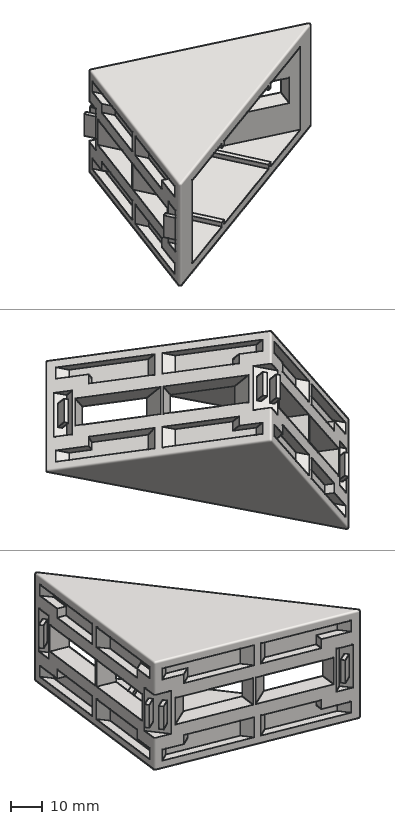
import cadquery as cq
import math

OVERALL = 77.6
PEG_REACH = 2.3
HEIGHT = 38.0
EDGE_RADIUS = 0.7
SHARP_LEG = OVERALL - PEG_REACH + math.sqrt(2) * EDGE_RADIUS

WALL = 7.1
PLATE = 3.7

RIB_OFFSETS = (25.5, 28.2)
RIB_HEIGHT = 1.55

WINDOW_SPANS = [(7.6, 36.1), (36.9, 65.4)]
WINDOW_HALF_HEIGHT = 4.65

SLOT_DEPTH = 3.25
SLOT_OUTER_Z = 16.15
SLOT_STEP_Z = 12.25
SLOT_INNER_Z = 9.1
NEAR_SLOT = (2.9, 36.4)
NEAR_SLOT_STEP = 10.8
FAR_SLOT = (38.9, 71.8)
FAR_SLOT_STEP = 60.9
CEILING_DROP = 0.6

RECESS_HALF_HEIGHT = 7.5
CORNER_CUT = 6.1
NOTCH_START = 66.3
NOTCH_VALLEY = 69.2
NOTCH_END = 72.5
NOTCH_DEPTH = math.sqrt((NOTCH_VALLEY - NOTCH_START) * (NOTCH_END - NOTCH_VALLEY))

PEG_HALF_HEIGHT = 4.0
PEG_TIP_STEP = 1.1
NEAR_PEG_TIP = 2.0
FAR_PEG_TIP = 68.3
PEG_RUN = 3.5


def prism(points, bottom, top):
    """Extrude a plan outline between two heights."""
    return cq.Workplane("XY").workplane(offset=bottom).polyline(points).close().extrude(top - bottom)


def on_other_leg(shape):
    """Half turn about the line X = Y; carries the front leg (Y = 0) onto the side leg (X = 0)."""
    return shape.rotate((0, 0, 0), (1, 1, 0), 180)


def body():
    half = HEIGHT / 2
    triangle = prism([(0, 0), (SHARP_LEG, 0), (0, SHARP_LEG)], -half, half)
    return triangle.edges().fillet(EDGE_RADIUS)


def cavity():
    half = HEIGHT / 2 - PLATE
    return prism([(WALL, WALL), (SHARP_LEG, WALL), (WALL, SHARP_LEG)], -half, half)


def plate_rib():
    """Rib on the bottom plate, trimmed flush with the wall and the sloping side."""
    near, far = RIB_OFFSETS
    plan = [(near + WALL, WALL), (far + WALL, WALL)]
    for offset in (far, near):
        reach = (SHARP_LEG - offset) / 2
        plan.append((offset + reach, reach))
    floor = PLATE - HEIGHT / 2
    return prism(plan, floor, floor + RIB_HEIGHT)


def window(start, end):
    """Opening with a 45 degree wall at its start and a square wall at its end."""
    plan = [(start, 0), (end, 0), (end, WALL), (start + WALL, WALL)]
    return prism(plan, -WINDOW_HALF_HEIGHT, WINDOW_HALF_HEIGHT)


def slot_band(start, end, low, high, end_slope=SLOT_DEPTH):
    """One level of a slot: 45 degree start wall, end wall leaning in by end_slope."""
    plan = [(start, 0), (end, 0), (end - end_slope, SLOT_DEPTH), (start + SLOT_DEPTH, SLOT_DEPTH)]
    return prism(plan, low, high)


def upper_slots():
    near_start, near_end = NEAR_SLOT
    far_start, far_end = FAR_SLOT
    near = slot_band(near_start, near_end, SLOT_STEP_Z, SLOT_OUTER_Z)
    near = near.union(slot_band(NEAR_SLOT_STEP, near_end, SLOT_INNER_Z, SLOT_STEP_Z))
    far = slot_band(far_start, far_end, SLOT_STEP_Z, SLOT_OUTER_Z)
    far = far.union(slot_band(far_start, FAR_SLOT_STEP, SLOT_INNER_Z, SLOT_STEP_Z, end_slope=0))
    return near.union(far)


def notch():
    plan = [(NOTCH_START, 0), (NOTCH_END, 0), (NOTCH_VALLEY, NOTCH_DEPTH)]
    return prism(plan, -RECESS_HALF_HEIGHT, RECESS_HALF_HEIGHT)


def corner_recess():
    plan = [(0, 0), (CORNER_CUT, 0), (0, CORNER_CUT)]
    return prism(plan, -RECESS_HALF_HEIGHT, RECESS_HALF_HEIGHT)


def peg(tip):
    """Bar whose lowest tip edge is at (tip, -PEG_REACH)."""
    tip_corners = [(tip, -PEG_REACH), (tip - PEG_TIP_STEP, -PEG_REACH + PEG_TIP_STEP)]
    root_corners = [(x + PEG_RUN, y + PEG_RUN) for x, y in reversed(tip_corners)]
    return prism(tip_corners + root_corners, -PEG_HALF_HEIGHT, PEG_HALF_HEIGHT)


def tilted_ceiling():
    """Wedge under the ceiling of the side leg's lower far slot, dropping towards the slot floor."""
    start = FAR_SLOT[0]
    length = FAR_SLOT_STEP - start
    profile = [(0, -SLOT_INNER_Z), (SLOT_DEPTH, -SLOT_INNER_Z), (SLOT_DEPTH, -SLOT_INNER_Z - CEILING_DROP)]
    return cq.Workplane("XZ", origin=(0, start, 0)).polyline(profile).close().extrude(-length)


upper = upper_slots()
leg_cuts = [upper, upper.mirror("XY"), notch()]
leg_cuts += [window(start, end) for start, end in WINDOW_SPANS]
leg_pegs = [peg(NEAR_PEG_TIP), peg(FAR_PEG_TIP)]

bottom_rib = plate_rib()
cavity_ribs = bottom_rib.union(bottom_rib.mirror("XY"))
hollow = cavity().cut(cavity_ribs).cut(on_other_leg(cavity_ribs))

result = body().cut(hollow).cut(corner_recess())
for cut in leg_cuts:
    result = result.cut(cut).cut(on_other_leg(cut))
for bar in leg_pegs:
    result = result.union(bar).union(on_other_leg(bar))
result = result.union(tilted_ceiling())